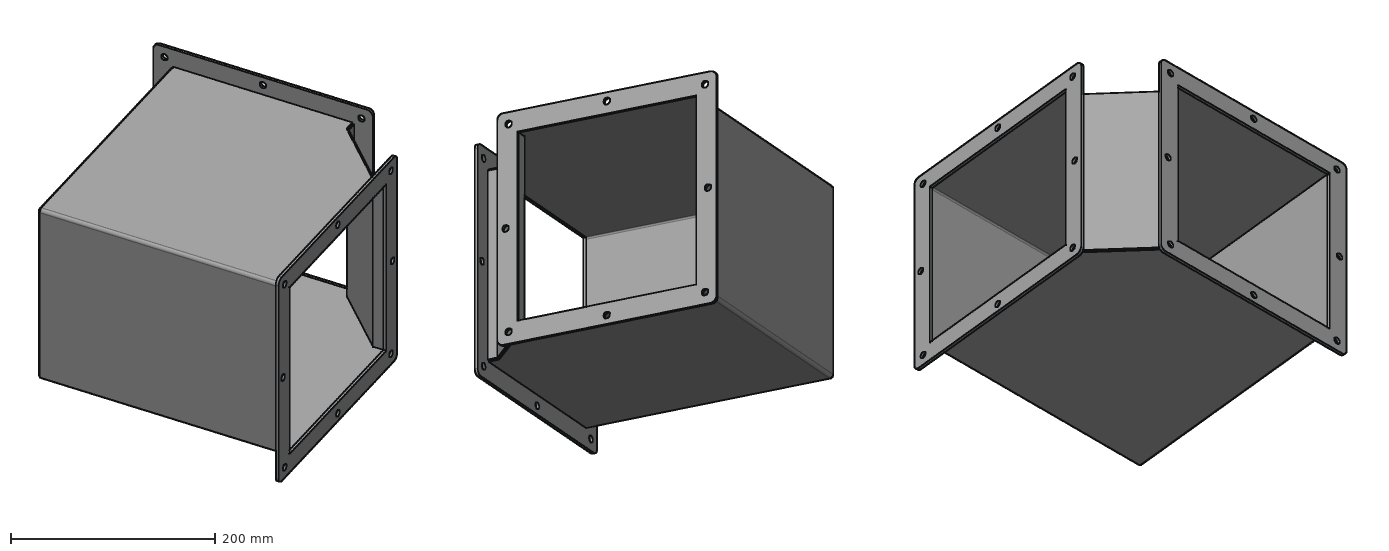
import cadquery as cq
import math


overall_length = 300.0
flange_side = 244.5
flange_thickness = 3.3
flange_corner_radius = 6.3
duct_side = 203.0
sheet_thickness = 1.8
bend_outer_radius = 3.5
hole_diameter = 7.2
corner_hole_inset = 12.5
edge_hole_inset = 9.3
throat_leg_end = 286.0

duct_near = (flange_side - duct_side) / 2
duct_far = duct_near + duct_side
duct_top = duct_side / 2
inner_near = duct_near + sheet_thickness
inner_top = duct_top - sheet_thickness
opening_side = duct_side - 2 * sheet_thickness
flange_face = overall_length - flange_thickness
bend_inner_radius = bend_outer_radius - sheet_thickness
throat_inner_far = duct_far - sheet_thickness
throat_inner_leg_end = throat_leg_end - sheet_thickness * math.tan(math.radians(22.5))


def half_turn(body):
    """Swap X with Y and flip Z: a half turn about the horizontal line X = Y."""
    return body.rotate((0, 0, 0), (1, 1, 0), 180)


def make_flange():
    """Square frame across the rear end of the duct, with eight bolt holes."""
    middle = flange_side / 2
    corner_reach = middle - corner_hole_inset
    edge_reach = middle - edge_hole_inset
    corner_holes = [(x, z) for x in (-corner_reach, corner_reach) for z in (-corner_reach, corner_reach)]
    edge_holes = [(-edge_reach, 0), (edge_reach, 0), (0, -edge_reach), (0, edge_reach)]
    return (
        cq.Workplane("XZ", origin=(middle, overall_length, 0))
        .rect(flange_side, flange_side)
        .extrude(flange_thickness)
        .edges("|Y")
        .fillet(flange_corner_radius)
        .faces("<Y")
        .workplane(origin=(middle, overall_length, 0))
        .rect(opening_side, opening_side)
        .cutThruAll()
        .pushPoints(corner_holes + edge_holes)
        .circle(hole_diameter / 2)
        .cutThruAll()
    )


def make_folded_panel():
    """Front wall and top wall, folded from one sheet and cut off along the throat."""
    bend_y = duct_near + bend_outer_radius
    bend_z = duct_top - bend_outer_radius
    diagonal = math.sqrt(0.5)
    outer_mid = (bend_y - bend_outer_radius * diagonal, bend_z + bend_outer_radius * diagonal)
    inner_mid = (bend_y - bend_inner_radius * diagonal, bend_z + bend_inner_radius * diagonal)
    sheet = (
        cq.Workplane("YZ", origin=(inner_near, 0, 0))
        .moveTo(duct_near, -inner_top)
        .lineTo(duct_near, bend_z)
        .threePointArc(outer_mid, (bend_y, duct_top))
        .lineTo(flange_face, duct_top)
        .lineTo(flange_face, inner_top)
        .lineTo(bend_y, inner_top)
        .threePointArc(inner_mid, (inner_near, bend_z))
        .lineTo(inner_near, -inner_top)
        .close()
        .extrude(flange_face - inner_near)
    )
    cut_corner = (
        cq.Workplane("XY", origin=(0, 0, -duct_top))
        .polyline([
            (throat_inner_far, flange_face),
            (throat_inner_far, throat_inner_leg_end),
            (throat_inner_leg_end, throat_inner_far),
            (flange_face, throat_inner_far),
            (flange_face, flange_face),
        ])
        .close()
        .extrude(duct_side)
    )
    return sheet.cut(cut_corner)


def make_throat_wall():
    """Sloped inner wall with a short straight leg at each flange, between top and bottom."""
    return (
        cq.Workplane("XY", origin=(0, 0, -inner_top))
        .polyline([
            (throat_inner_far, flange_face),
            (throat_inner_far, throat_inner_leg_end),
            (throat_inner_leg_end, throat_inner_far),
            (flange_face, throat_inner_far),
            (flange_face, duct_far),
            (throat_leg_end, duct_far),
            (duct_far, throat_leg_end),
            (duct_far, flange_face),
        ])
        .close()
        .extrude(2 * inner_top)
    )


rear_flange = make_flange()
side_flange = half_turn(rear_flange)
top_front_panel = make_folded_panel()
bottom_side_panel = half_turn(top_front_panel)
throat_wall = make_throat_wall()

result = cq.Compound.makeCompound([
    rear_flange.val(),
    side_flange.val(),
    top_front_panel.val(),
    bottom_side_panel.val(),
    throat_wall.val(),
])